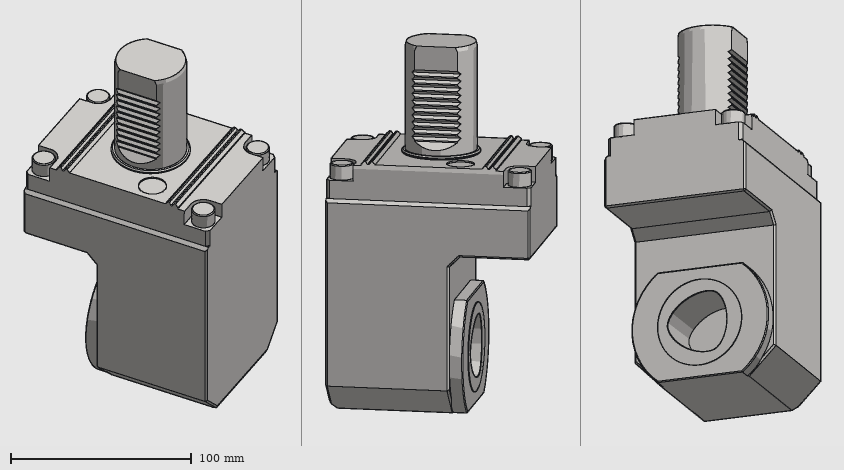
import cadquery as cq
import math


BODY_LENGTH = 115.0
BODY_WIDTH = 84.0
BODY_BOTTOM = -142.0
ARM_BOTTOM = -50.0
LEG_FACE_X = -12.0
INNER_CORNER_CHAMFER = 6.0
ARM_TIP_CHAMFER = 1.0
HEEL_CHAMFER = 4.0
BELLY_CHAMFER = 16.0
EDGE_CHAMFER = 1.1

PLATE_WIDTH = 80.0
PLATE_BOTTOM = -20.0
PLATE_CORNER_CHAMFER = 2.0
OUTER_LAND_Z = -0.7
RIM_TAPER_HEIGHT = 2.65
RIM_TAPER_ANGLE = 15.0

RIDGE_INNER_X = 30.0
RIDGE_OUTER_X = 38.0
RIDGE_HEIGHT = 1.6
RIDGE_TIP = 0.9
RIDGE_TIPS_X = (32.1, 35.8)

SCREW_X = 50.0
SCREW_Y = 32.0
SCREW_DIAMETER = 13.0
SCREW_HEIGHT = 8.4
SCREW_CHAMFER = 0.6
SCREW_SEAT_Z = -9.6
SEAT_RADIUS = 7.75
PLUG_X = 16.0
PLUG_Y = 28.0
PLUG_DIAMETER = 15.5
PLUG_RECESS = 0.8

SHANK_DIAMETER = 40.0
SHANK_LENGTH = 63.0
SHANK_CHAMFER_HEIGHT = 2.5
SHANK_CHAMFER_WIDTH = 0.67
COLLAR_DIAMETER = 43.9
COLLAR_HEIGHT = 2.0
COLLAR_CHAMFER = 0.8
COLLAR_UNDERCUT = 0.6
FLAT_Y = 16.0
FLAT_BOTTOM = 9.0
TOOTH_COUNT = 10
TOOTH_PITCH = 4.05
TOOTH_DEPTH = 1.4
TOOTH_GAP = 3.3
TOP_TOOTH_Z = 47.8

SPINDLE_Z = -110.0
NOSE_DIAMETER = 81.4
NOSE_FLATS = 64.0
NOSE_FACE_X = -19.5
NOSE_CHAMFER = 0.6
SPINDLE_DIAMETER = 50.0
SPINDLE_FACE_X = -20.0

SOCKET_RADIUS = 17.5
SOCKET_LOBE = 1.4
SOCKET_DEPTH = 30.0
SOCKET_TAPER = 1 / 20
SOCKET_MOUTH = 0.3
SOCKET_POINTS = 48

HALF_LENGTH = BODY_LENGTH / 2
HALF_WIDTH = BODY_WIDTH / 2
PLATE_HALF = PLATE_WIDTH / 2
SHOULDER = HALF_WIDTH - PLATE_HALF
SHANK_RADIUS = SHANK_DIAMETER / 2

OVERSIZE = 10.0
OVERLAP = 1.0
TOLERANCE = 0.01


def make_body():
    side = (
        cq.Workplane("XZ")
        .moveTo(-HALF_LENGTH, PLATE_BOTTOM)
        .lineTo(HALF_LENGTH, PLATE_BOTTOM)
        .lineTo(HALF_LENGTH, BODY_BOTTOM + HEEL_CHAMFER)
        .lineTo(HALF_LENGTH - HEEL_CHAMFER, BODY_BOTTOM)
        .lineTo(LEG_FACE_X, BODY_BOTTOM)
        .lineTo(LEG_FACE_X, ARM_BOTTOM - INNER_CORNER_CHAMFER)
        .lineTo(LEG_FACE_X - INNER_CORNER_CHAMFER, ARM_BOTTOM)
        .lineTo(ARM_TIP_CHAMFER - HALF_LENGTH, ARM_BOTTOM)
        .lineTo(-HALF_LENGTH, ARM_BOTTOM + ARM_TIP_CHAMFER)
        .close()
        .extrude(HALF_WIDTH, both=True)
    )
    belly_z = BODY_BOTTOM + BELLY_CHAMFER
    shoulder_z = PLATE_BOTTOM - SHOULDER
    belly_y = HALF_WIDTH - BELLY_CHAMFER
    section = (
        cq.Workplane("YZ")
        .polyline([
            (-PLATE_HALF, PLATE_BOTTOM), (PLATE_HALF, PLATE_BOTTOM),
            (HALF_WIDTH, shoulder_z), (HALF_WIDTH, belly_z),
            (belly_y, BODY_BOTTOM), (-belly_y, BODY_BOTTOM),
            (-HALF_WIDTH, belly_z), (-HALF_WIDTH, shoulder_z),
        ])
        .close()
        .extrude(HALF_LENGTH, both=True)
    )
    body = side.intersect(section)

    rims = []
    for edge in body.edges().vals():
        centre = edge.Center()
        on_side = abs(abs(centre.y) - HALF_WIDTH) < TOLERANCE
        joins_slope = min(abs(centre.z - shoulder_z), abs(centre.z - belly_z)) < TOLERANCE
        below_belly = BODY_BOTTOM + TOLERANCE < centre.z < belly_z - TOLERANCE
        at_leg_end = min(abs(centre.x - LEG_FACE_X), abs(centre.x - HALF_LENGTH)) < TOLERANCE
        if (on_side and not joins_slope) or (below_belly and at_leg_end):
            rims.append(edge)
    return body.newObject(rims).chamfer(EDGE_CHAMFER)


def make_plate():
    low = PLATE_BOTTOM - SHOULDER
    plate = (
        cq.Workplane("XY", origin=(0, 0, low))
        .rect(BODY_LENGTH, PLATE_WIDTH)
        .extrude(OUTER_LAND_Z - low)
        .edges("|Z")
        .chamfer(PLATE_CORNER_CHAMFER)
    )

    inner_tip, outer_tip = RIDGE_TIPS_X
    half_tip = RIDGE_TIP / 2
    valley_x = (inner_tip + outer_tip) / 2
    right_half = [
        (RIDGE_INNER_X, 0),
        (inner_tip - half_tip, RIDGE_HEIGHT), (inner_tip + half_tip, RIDGE_HEIGHT),
        (valley_x - half_tip, 0), (valley_x + half_tip, 0),
        (outer_tip - half_tip, RIDGE_HEIGHT), (outer_tip + half_tip, RIDGE_HEIGHT),
        (RIDGE_OUTER_X, 0), (RIDGE_OUTER_X, OUTER_LAND_Z - OVERLAP),
    ]
    left_half = [(-x, z) for x, z in reversed(right_half)]
    raised = cq.Workplane("XZ").polyline(left_half + right_half).close().extrude(PLATE_HALF, both=True)
    plate = plate.union(raised)

    taper_bottom = -RIM_TAPER_HEIGHT
    taper_rise = RIM_TAPER_HEIGHT + RIDGE_HEIGHT + OVERLAP
    taper_run = taper_rise * math.tan(math.radians(RIM_TAPER_ANGLE))
    for side in (-1, 1):
        wedge = (
            cq.Workplane("YZ")
            .moveTo(side * PLATE_HALF, taper_bottom)
            .lineTo(side * (PLATE_HALF - taper_run), taper_bottom + taper_rise)
            .lineTo(side * PLATE_HALF, taper_bottom + taper_rise)
            .close()
            .extrude(BODY_LENGTH, both=True)
        )
        plate = plate.cut(wedge)
    return plate


def cut_seats(part):
    reach = SEAT_RADIUS + OVERSIZE
    for sx in (-1, 1):
        for sy in (-1, 1):
            seat = (
                cq.Workplane("XY", origin=(sx * SCREW_X, sy * SCREW_Y, SCREW_SEAT_Z))
                .center(sx * (reach / 2 - SEAT_RADIUS), sy * (reach / 2 - SEAT_RADIUS))
                .rect(reach, reach)
                .extrude(OVERSIZE)
                .edges("|Z")
                .edges("{}X".format("<" if sx > 0 else ">"))
                .edges("{}Y".format("<" if sy > 0 else ">"))
                .fillet(SEAT_RADIUS)
            )
            part = part.cut(seat)
    return part


def make_screws():
    return (
        cq.Workplane("XY", origin=(0, 0, SCREW_SEAT_Z - OVERLAP))
        .rect(2 * SCREW_X, 2 * SCREW_Y, forConstruction=True)
        .vertices()
        .circle(SCREW_DIAMETER / 2)
        .extrude(SCREW_HEIGHT + OVERLAP)
        .faces(">Z")
        .edges()
        .chamfer(SCREW_CHAMFER)
    )


def make_plug_recesses():
    return (
        cq.Workplane("XY", origin=(0, 0, -PLUG_RECESS))
        .pushPoints([(-PLUG_X, PLUG_Y), (PLUG_X, -PLUG_Y)])
        .circle(PLUG_DIAMETER / 2)
        .extrude(OVERSIZE)
    )


def make_shank():
    collar_radius = COLLAR_DIAMETER / 2
    shank = (
        cq.Workplane("XZ")
        .moveTo(0, -OVERLAP)
        .lineTo(collar_radius - COLLAR_UNDERCUT, -OVERLAP)
        .lineTo(collar_radius - COLLAR_UNDERCUT, 0)
        .lineTo(collar_radius, COLLAR_UNDERCUT)
        .lineTo(collar_radius, COLLAR_HEIGHT - COLLAR_CHAMFER)
        .lineTo(collar_radius - COLLAR_CHAMFER, COLLAR_HEIGHT)
        .lineTo(SHANK_RADIUS, COLLAR_HEIGHT)
        .lineTo(SHANK_RADIUS, SHANK_LENGTH - SHANK_CHAMFER_HEIGHT)
        .lineTo(SHANK_RADIUS - SHANK_CHAMFER_WIDTH, SHANK_LENGTH)
        .lineTo(0, SHANK_LENGTH)
        .close()
        .revolve(360, (0, 0, 0), (0, 1, 0))
    )
    depth = SHANK_RADIUS - FLAT_Y + OVERLAP
    outline = [(FLAT_Y + depth, FLAT_BOTTOM - depth), (FLAT_Y, FLAT_BOTTOM)]
    for index in reversed(range(TOOTH_COUNT)):
        root_z = TOP_TOOTH_Z - index * TOOTH_PITCH
        outline.append((FLAT_Y, root_z - TOOTH_GAP / 2))
        outline.append((FLAT_Y - TOOTH_DEPTH, root_z))
        outline.append((FLAT_Y, root_z + TOOTH_GAP / 2))
    outline.append((FLAT_Y, SHANK_LENGTH + OVERLAP))
    outline.append((FLAT_Y + depth, SHANK_LENGTH + OVERLAP))
    for side in (-1, 1):
        mirrored = [(side * y, z) for y, z in outline]
        flat = cq.Workplane("YZ").polyline(mirrored).close().extrude(SHANK_RADIUS, both=True)
        shank = shank.cut(flat)
    return shank


def make_spindle_nose():
    nose = (
        cq.Workplane("YZ", origin=(LEG_FACE_X + OVERLAP, 0, SPINDLE_Z))
        .circle(NOSE_DIAMETER / 2)
        .extrude(NOSE_FACE_X - LEG_FACE_X - OVERLAP)
    )
    flats = (
        cq.Workplane("YZ", origin=(0, 0, SPINDLE_Z))
        .rect(NOSE_DIAMETER, NOSE_FLATS)
        .extrude(NOSE_DIAMETER, both=True)
    )
    nose = nose.intersect(flats).faces("<X").edges().chamfer(NOSE_CHAMFER)
    spindle = (
        cq.Workplane("YZ", origin=(LEG_FACE_X, 0, SPINDLE_Z))
        .circle(SPINDLE_DIAMETER / 2)
        .extrude(SPINDLE_FACE_X - LEG_FACE_X)
    )
    return nose.union(spindle)


def lobed_point(radius, angle):
    """Point on a constant-width curve of three lobes, one of them toward +Y."""
    support = radius + SOCKET_LOBE * math.cos(3 * angle)
    slope = -3 * SOCKET_LOBE * math.sin(3 * angle)
    y = support * math.cos(angle) - slope * math.sin(angle)
    z = support * math.sin(angle) + slope * math.cos(angle)
    return (y, z)


def lobed_frustum(x_start, x_end, radius_start, radius_end):
    step = 2 * math.pi / SOCKET_POINTS
    start = [lobed_point(radius_start, i * step) for i in range(SOCKET_POINTS)]
    end = [lobed_point(radius_end, i * step) for i in range(SOCKET_POINTS)]
    return (
        cq.Workplane("YZ", origin=(x_start, 0, SPINDLE_Z))
        .spline(start, periodic=True)
        .close()
        .workplane(offset=x_end - x_start)
        .spline(end, periodic=True)
        .close()
        .loft(ruled=True)
    )


def make_socket():
    floor_radius = SOCKET_RADIUS - SOCKET_DEPTH * SOCKET_TAPER / 2
    bore = lobed_frustum(
        SPINDLE_FACE_X, SPINDLE_FACE_X + SOCKET_DEPTH, SOCKET_RADIUS, floor_radius)
    mouth = lobed_frustum(
        SPINDLE_FACE_X, SPINDLE_FACE_X + SOCKET_MOUTH, SOCKET_RADIUS + SOCKET_MOUTH, SOCKET_RADIUS)
    return bore.union(mouth)


result = make_body().union(make_plate())
result = cut_seats(result)
result = result.union(make_screws())
result = result.cut(make_plug_recesses())
result = result.union(make_shank())
result = result.union(make_spindle_nose())
result = result.cut(make_socket())